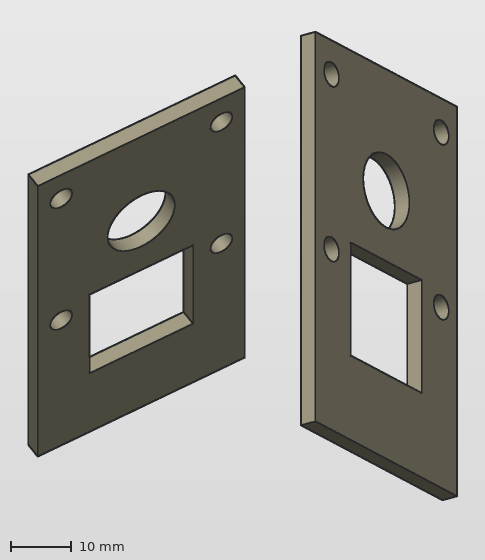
import cadquery as cq

thickness = 3.0
width = 40.0
height = 69.0

bore_diameter = 13.0
bore_drop = 21.5
screw_diameter = 4.2
screw_spacing = 31.0

window_side = 20.0
window_drop = 34.0

top_edge = height / 2
bore_z = top_edge - bore_drop
window_z = top_edge - window_drop - window_side / 2

plate = cq.Workplane("XY").box(thickness, width, height)


def face_plane(z):
    """Plane on the +X face, centred across the width at height z."""
    return cq.Workplane("YZ", origin=(thickness / 2, 0, z))


bore = face_plane(bore_z).circle(bore_diameter / 2).extrude(-thickness)
screw_holes = (
    face_plane(bore_z)
    .rect(screw_spacing, screw_spacing, forConstruction=True)
    .vertices()
    .circle(screw_diameter / 2)
    .extrude(-thickness)
)
window = face_plane(window_z).rect(window_side, window_side).extrude(-thickness)

result = plate.cut(bore).cut(screw_holes).cut(window)